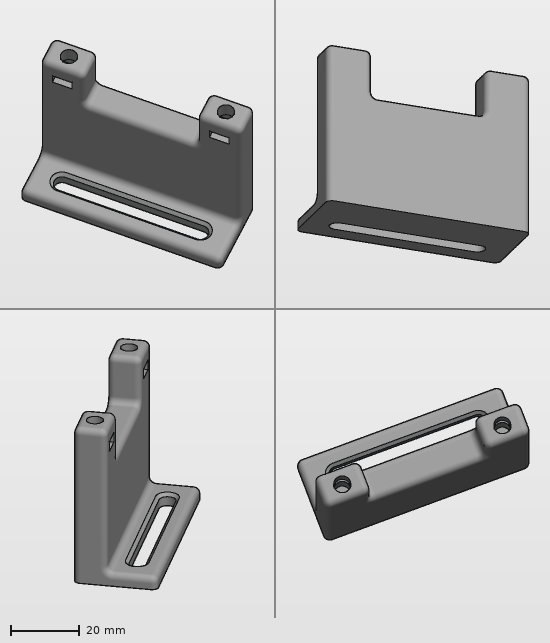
import cadquery as cq

width = 64.0
depth = 25.0
height = 50.0
plate_thickness = 10.0
foot_thickness = 4.0
edge_radius = 2.0

notch_width = 36.0
notch_depth = 15.0

post_width = (width - notch_width) / 2
post_x = (width - post_width) / 2
screw_diameter = 5.0
pocket_width = 6.2
pocket_height = 3.15
pocket_top_gap = 5.0
pocket_depth = (plate_thickness + pocket_width) / 2
screw_depth = notch_depth

slot_travel = 44.0
slot_width = 5.0
slot_chamfer = 1.0
slot_to_back = 17.0

plate_front_y = -plate_thickness


def make_body():
    """L-shaped bracket with a notch, rounded everywhere but the underside."""
    body = (
        cq.Workplane("YZ")
        .polyline([
            (0, 0),
            (-depth, 0),
            (-depth, foot_thickness),
            (plate_front_y, foot_thickness),
            (plate_front_y, height),
            (0, height),
        ])
        .close()
        .extrude(width / 2, both=True)
    )
    notch = (
        cq.Workplane("XY", origin=(0, 0, height - notch_depth))
        .rect(notch_width, 2 * depth)
        .extrude(notch_depth)
    )
    body = body.cut(notch)
    underside_edges = cq.selectors.BoxSelector(
        (-width, -2 * depth, -0.65), (width, depth, 0.65)
    )
    return body.edges(cq.selectors.InverseSelector(underside_edges)).fillet(edge_radius)


def make_slot():
    """Slot through the foot, widening in a chamfer at the upper face."""
    total_length = slot_travel + slot_width
    slot = (
        cq.Workplane("XY", origin=(0, -slot_to_back, 0))
        .slot2D(total_length, slot_width)
        .extrude(foot_thickness)
    )
    mouth = (
        cq.Workplane("XY", origin=(0, -slot_to_back, foot_thickness))
        .slot2D(total_length + 2 * slot_chamfer, slot_width + 2 * slot_chamfer)
        .extrude(-slot_chamfer, taper=45)
    )
    return slot.union(mouth)


def make_screw_seat(x):
    """Vertical screw hole crossing a nut pocket open at the plate front."""
    hole = (
        cq.Workplane("XY", origin=(x, -plate_thickness / 2, height))
        .circle(screw_diameter / 2)
        .extrude(-screw_depth)
    )
    pocket = cq.Workplane("XY").box(
        pocket_width, pocket_depth, pocket_height, centered=(True, False, False)
    ).translate((x, plate_front_y, height - pocket_top_gap - pocket_height))
    return hole.union(pocket)


result = make_body().cut(make_slot())
for side in (-1, 1):
    result = result.cut(make_screw_seat(side * post_x))